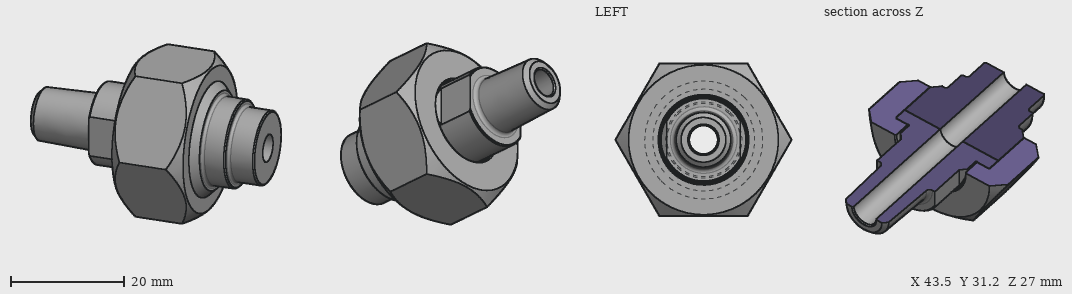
import cadquery as cq
import math


total_length = 43.5
bore_radius = 5.0 / 2
flange_radius = 20.9 / 2

nut_start = 19.05
nut_end = 32.6
nut_across_flats = 27.0
nut_corner_chamfer = 2.35
nut_bore_radius = 15.5 / 2
nut_bore_chamfer = 0.25
nut_shoulder_x = 22.6
joint_x = 25.25

spigot_root_radius = 10.3 / 2
spigot_taper = 1 / 32
spigot_tip_chamfer = 0.85
spigot_fillet = 0.75
bore_mouth_chamfer = 0.25
collar_start = 12.0
collar_radius = 15.0 / 2
collar_chamfer = 0.2
collar_flat_width = 13.0

cone_end = 34.0
cone_end_radius = 18.0 / 2
barrel_end = 38.5
barrel_radius = 16.0 / 2
barrel_chamfer = 0.25
stub_radius = 13.5 / 2
stub_chamfer = 0.25
step_fillet = 0.52


def fillet_middle(center_x, center_r, radius, x_sign):
    """Middle point of a concave corner fillet, on the side of x_sign and towards the axis."""
    reach = radius * math.sqrt(0.5)
    return center_x + x_sign * reach, center_r - reach


def revolve_about_x(profile):
    return profile.close().revolve(360, (0, 0, 0), (1, 0, 0))


def make_nut():
    length = nut_end - nut_start
    corner_radius = nut_across_flats / math.sqrt(3)
    nut = (
        cq.Workplane("YZ", origin=(nut_start, 0, 0))
        .polygon(6, 2 * corner_radius)
        .extrude(length)
    )
    corner_cutter = (
        cq.Workplane("YZ", origin=(nut_start, 0, 0))
        .circle(corner_radius)
        .extrude(length)
        .edges()
        .chamfer(nut_corner_chamfer)
    )
    cavity = revolve_about_x(
        cq.Workplane("XY")
        .moveTo(nut_start, 0)
        .lineTo(nut_start, nut_bore_radius + nut_bore_chamfer)
        .lineTo(nut_start + nut_bore_chamfer, nut_bore_radius)
        .lineTo(nut_shoulder_x, nut_bore_radius)
        .lineTo(nut_shoulder_x, flange_radius)
        .lineTo(nut_end, flange_radius)
        .lineTo(nut_end, 0)
    )
    return nut.intersect(corner_cutter).cut(cavity)


def make_flat_cutter(side):
    """Wedge that mills one wrench flat, running out at 45 degrees inside the nut."""
    flat_y = collar_flat_width / 2
    depth = collar_radius - flat_y
    return (
        cq.Workplane("XY")
        .moveTo(collar_start, side * flat_y)
        .lineTo(nut_start, side * flat_y)
        .lineTo(nut_start + depth, side * collar_radius)
        .lineTo(collar_start, side * collar_radius)
        .close()
        .extrude(collar_radius, both=True)
    )


def make_nipple():
    spigot_root_x = collar_start - spigot_fillet
    taper_length = spigot_root_x - spigot_tip_chamfer
    spigot_tip_radius = spigot_root_radius - taper_length * spigot_taper
    fillet_top = spigot_root_radius + spigot_fillet
    nipple = revolve_about_x(
        cq.Workplane("XY")
        .moveTo(0, bore_radius + bore_mouth_chamfer)
        .lineTo(0, spigot_tip_radius - spigot_tip_chamfer)
        .lineTo(spigot_tip_chamfer, spigot_tip_radius)
        .lineTo(spigot_root_x, spigot_root_radius)
        .threePointArc(
            fillet_middle(spigot_root_x, fillet_top, spigot_fillet, 1),
            (collar_start, fillet_top),
        )
        .lineTo(collar_start, collar_radius - collar_chamfer)
        .lineTo(collar_start + collar_chamfer, collar_radius)
        .lineTo(nut_shoulder_x, collar_radius)
        .lineTo(nut_shoulder_x, flange_radius)
        .lineTo(joint_x, flange_radius)
        .lineTo(joint_x, bore_radius)
        .lineTo(bore_mouth_chamfer, bore_radius)
    )
    for side in (-1, 1):
        nipple = nipple.cut(make_flat_cutter(side))
    return nipple


def make_adapter():
    barrel_root_x = cone_end + step_fillet
    barrel_fillet_top = barrel_radius + step_fillet
    stub_root_x = barrel_end + step_fillet
    stub_fillet_top = stub_radius + step_fillet
    return revolve_about_x(
        cq.Workplane("XY")
        .moveTo(joint_x, bore_radius)
        .lineTo(joint_x, flange_radius)
        .lineTo(nut_end, flange_radius)
        .lineTo(cone_end, cone_end_radius)
        .lineTo(cone_end, barrel_fillet_top)
        .threePointArc(
            fillet_middle(barrel_root_x, barrel_fillet_top, step_fillet, -1),
            (barrel_root_x, barrel_radius),
        )
        .lineTo(barrel_end - barrel_chamfer, barrel_radius)
        .lineTo(barrel_end, barrel_radius - barrel_chamfer)
        .lineTo(barrel_end, stub_fillet_top)
        .threePointArc(
            fillet_middle(stub_root_x, stub_fillet_top, step_fillet, -1),
            (stub_root_x, stub_radius),
        )
        .lineTo(total_length - stub_chamfer, stub_radius)
        .lineTo(total_length, stub_radius - stub_chamfer)
        .lineTo(total_length, bore_radius)
    )


nut = make_nut()
nipple = make_nipple()
adapter = make_adapter()

result = cq.Compound.makeCompound([nut.val(), nipple.val(), adapter.val()])